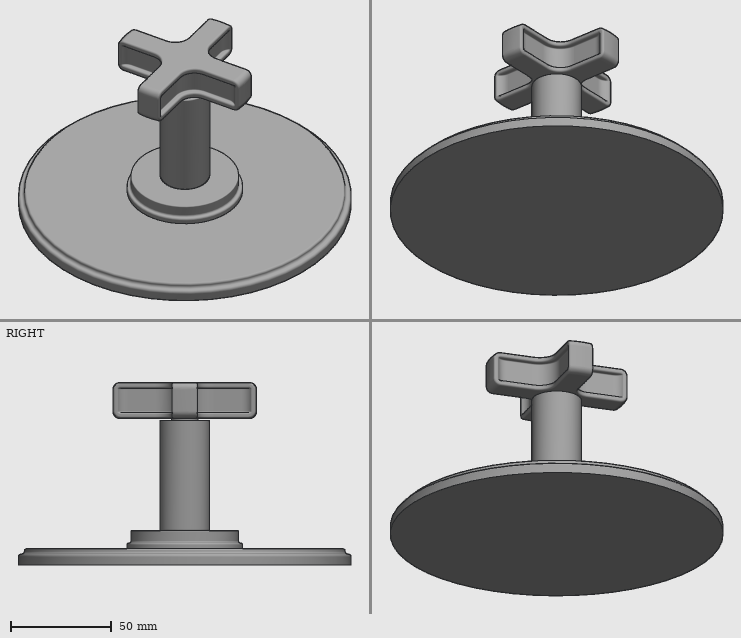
import cadquery as cq
import math

plate_radius = 82.5
plate_height = 8.1
plate_lower_round = 1.5
plate_cove = 1.5
plate_upper_round = 1.2

flange_radius = 28.7
flange_top = 10.9
flange_round = 1.0
boss_foot_cove = 1.0
boss_top = 17.0
boss_top_round = 0.5

stem_radius = 12.4
stem_top = 71.7
stem_end_round = 0.5
neck_radius = 6.6

handle_bottom = 72.6
handle_top = 90.5
handle_radius = 35.7
handle_tip_round = 3.5
arm_half_width = 6.3
arm_corner_radius = 8.1

recess_depth = 2.6
recess_rim = 3.0
recess_wall_end = 28.2
recess_flare_radius = 5.8
recess_floor_round = 0.5
rim_round = 1.0

handle_height = handle_top - handle_bottom
arm_corner_center = arm_half_width + arm_corner_radius
diagonal = math.sqrt(0.5)
tolerance = 0.002


def make_base():
    """Plate, flange, boss, stem and neck as one turned profile."""
    boss_radius = flange_radius - flange_round - boss_foot_cove
    lower_rim = plate_radius - plate_lower_round
    step_radius = lower_rim - plate_cove
    step_top = plate_height - plate_upper_round
    cove_bottom = step_top - plate_cove
    side_top = cove_bottom - plate_lower_round
    stem_end_radius = stem_radius - stem_end_round

    profile = (
        cq.Workplane("XZ")
        .lineTo(plate_radius, 0)
        .lineTo(plate_radius, side_top)
        .radiusArc((lower_rim, cove_bottom), -plate_lower_round)
        .radiusArc((step_radius, step_top), plate_cove)
        .radiusArc((step_radius - plate_upper_round, plate_height), -plate_upper_round)
        .lineTo(flange_radius, plate_height)
        .lineTo(flange_radius, flange_top - flange_round)
        .radiusArc((flange_radius - flange_round, flange_top), -flange_round)
        .radiusArc((boss_radius, flange_top + boss_foot_cove), boss_foot_cove)
        .lineTo(boss_radius, boss_top - boss_top_round)
        .radiusArc((boss_radius - boss_top_round, boss_top), -boss_top_round)
        .lineTo(stem_end_radius, boss_top)
        .radiusArc((stem_radius, boss_top + stem_end_round), -stem_end_round)
        .lineTo(stem_radius, stem_top - stem_end_round)
        .radiusArc((stem_end_radius, stem_top), -stem_end_round)
        .lineTo(neck_radius, stem_top)
        .lineTo(neck_radius, handle_bottom)
        .lineTo(0, handle_bottom)
        .close()
    )
    return profile.revolve(360, (0, 0, 0), (0, 1, 0))


def make_cross():
    """Two crossed arms with rounded inner corners and tips trimmed to a round disc."""
    plane = cq.Workplane("XY").workplane(offset=handle_bottom)
    arm_width = 2 * arm_half_width
    arm_length = 2 * handle_radius + arm_width
    along_x = plane.rect(arm_length, arm_width).extrude(handle_height)
    along_y = plane.rect(arm_width, arm_length).extrude(handle_height)
    inner_corners = cq.selectors.BoxSelector(
        (-arm_width, -arm_width, 0), (arm_width, arm_width, handle_top)
    )
    arms = along_x.union(along_y).edges("|Z").edges(inner_corners).fillet(arm_corner_radius)
    disc = plane.circle(handle_radius).extrude(handle_height)
    disc = disc.edges("%CIRCLE").fillet(handle_tip_round)
    return arms.intersect(disc)


def make_recess():
    """Pocket wrapped around one inner corner of the cross, flaring out at both arm ends."""
    wall = arm_half_width - recess_depth
    corner_mid = arm_corner_center - (arm_corner_radius + recess_depth) * diagonal
    flare_side = wall + recess_flare_radius
    flare_end = recess_wall_end + recess_flare_radius
    flare_bend = recess_flare_radius * diagonal
    pocket = (
        cq.Workplane("XY").workplane(offset=handle_bottom + recess_rim)
        .moveTo(arm_corner_center, wall)
        .lineTo(recess_wall_end, wall)
        .threePointArc((recess_wall_end + flare_bend, flare_side - flare_bend), (flare_end, flare_side))
        .lineTo(flare_end, flare_end)
        .lineTo(flare_side, flare_end)
        .threePointArc((flare_side - flare_bend, recess_wall_end + flare_bend), (wall, recess_wall_end))
        .lineTo(wall, arm_corner_center)
        .threePointArc((corner_mid, corner_mid), (arm_corner_center, wall))
        .close()
        .extrude(handle_height - 2 * recess_rim)
    )
    return pocket.edges("#Z").fillet(recess_floor_round)


def side_offset(point):
    """Distance of a point from the side outline of the cross."""
    along, across = max(abs(point.x), abs(point.y)), min(abs(point.x), abs(point.y))
    if along >= arm_corner_center:
        return across - arm_half_width
    return arm_corner_radius - math.hypot(arm_corner_center - along, arm_corner_center - across)


def is_rim_edge(edge):
    """True for an edge lying wholly in the side faces of the arms."""
    return all(abs(side_offset(edge.positionAt(t))) < tolerance for t in (0, 0.5, 1))


def make_handle():
    """Cross with a recess in each quadrant and both borders of every rim rounded."""
    handle = make_cross()
    recess = make_recess()
    for quarter in range(4):
        handle = handle.cut(recess.rotate((0, 0, 0), (0, 0, 1), 90 * quarter))
    rim_edges = [edge for edge in handle.edges().vals() if is_rim_edge(edge)]
    return handle.newObject(rim_edges).fillet(rim_round)


result = make_base().union(make_handle())